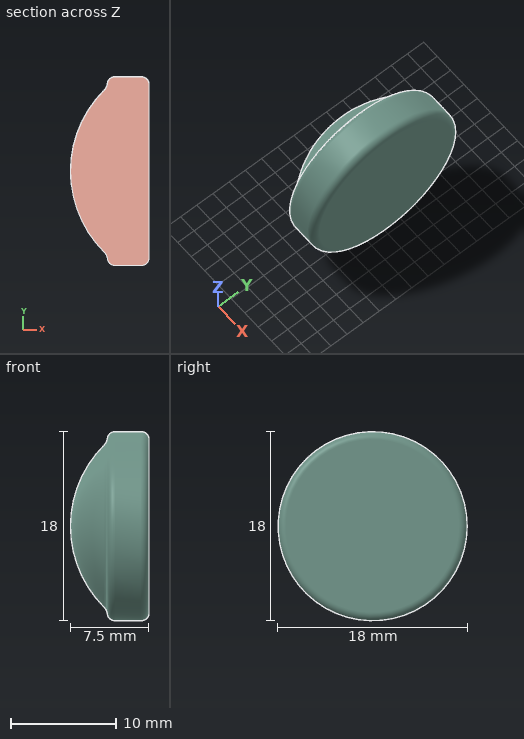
import cadquery as cq
import math

disc_radius = 9.0
disc_thickness = 4.0
edge_round = 0.75
dome_height = 3.5
dome_base_radius = 8.0
blend_radius = 1.0

disc_front = dome_height
disc_back = disc_front + disc_thickness

dome_radius = (dome_height**2 + dome_base_radius**2) / (2 * dome_height)
dome_center = (dome_radius, 0.0)

rim_radius = disc_radius - edge_round
front_round_center = (disc_front + edge_round, rim_radius)
back_round_center = (disc_back - edge_round, rim_radius)


def point_toward(start, target, distance):
    """Point at the given distance from start, on the line to target."""
    ratio = distance / math.dist(start, target)
    return (
        start[0] + ratio * (target[0] - start[0]),
        start[1] + ratio * (target[1] - start[1]),
    )


def outer_tangent_center(center_a, radius_a, center_b, radius_b, radius):
    """Centre of the circle touching circles a and b from outside, left of the line a to b."""
    reach_a = radius_a + radius
    reach_b = radius_b + radius
    span = math.dist(center_a, center_b)
    along = (reach_a**2 - reach_b**2 + span**2) / (2 * span)
    across = math.sqrt(reach_a**2 - along**2)
    direction_x = (center_b[0] - center_a[0]) / span
    direction_y = (center_b[1] - center_a[1]) / span
    return (
        center_a[0] + along * direction_x - across * direction_y,
        center_a[1] + along * direction_y + across * direction_x,
    )


def arc_middle(center, radius, start, end):
    """Middle point of the minor arc from start to end."""
    chord_middle = ((start[0] + end[0]) / 2, (start[1] + end[1]) / 2)
    return point_toward(center, chord_middle, radius)


def half_profile():
    """Closed half section above the axis, in the XY plane."""
    blend_center = outer_tangent_center(
        dome_center, dome_radius, front_round_center, edge_round, blend_radius
    )
    apex = (0.0, 0.0)
    dome_end = point_toward(dome_center, blend_center, dome_radius)
    blend_end = point_toward(front_round_center, blend_center, edge_round)
    rim_front = (front_round_center[0], disc_radius)
    rim_back = (back_round_center[0], disc_radius)
    back_face_edge = (disc_back, rim_radius)

    return (
        cq.Workplane("XY")
        .moveTo(*apex)
        .threePointArc(arc_middle(dome_center, dome_radius, apex, dome_end), dome_end)
        .threePointArc(arc_middle(blend_center, blend_radius, dome_end, blend_end), blend_end)
        .threePointArc(arc_middle(front_round_center, edge_round, blend_end, rim_front), rim_front)
        .lineTo(*rim_back)
        .threePointArc(
            arc_middle(back_round_center, edge_round, rim_back, back_face_edge), back_face_edge
        )
        .lineTo(disc_back, 0.0)
        .close()
    )


result = half_profile().revolve(360, (0, 0, 0), (1, 0, 0))